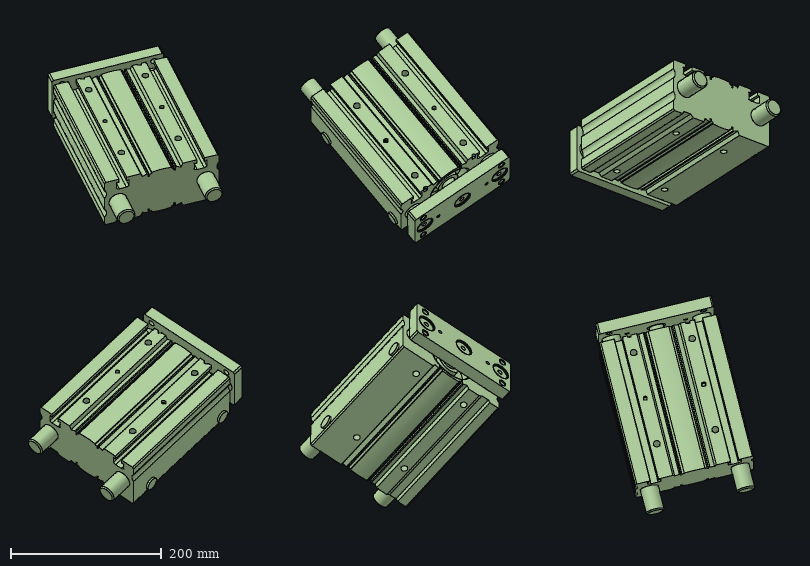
import cadquery as cq
OVERLAP = 2.5

PLATE_THICKNESS = 16.0
PLATE_WIDTH = 158.2
PLATE_HEIGHT = 70.0
PLATE_CHAMFER = 2.4
PLATE_BOLT_Y = 64.9
PLATE_BOLT_Z = 25.0
PLATE_BOLT_DIAMETER = 8.4
PLATE_BOLT_MOUTH_DIAMETER = 10.5

TOTAL_LENGTH = 261.5
GUIDE_Y = 62.0
ROD_END_RECESS = 1.5
GUIDE_DIAMETER = 24.8
GUIDE_TAIL_CHAMFER = 1.8
PISTON_ROD_DIAMETER = 20.0
ROD_END_CHAMFER = 1.0
ROD_HOLE_MOUTH_DIAMETER = 26.2
CENTRE_HOLE_DIAMETER = 6.8
CENTRE_HOLE_DEPTH = 7.8

HOUSING_START = 28.0
HOUSING_LENGTH = 199.3
HALF_WIDTH = 81.0
HALF_HEIGHT = 39.0
CORNER_CHAMFER = 2.0
SIDE_GROOVE_Z = 17.3
SIDE_GROOVE_WIDTH = 14.0
SIDE_GROOVE_DEPTH = 3.1

COVER_DIAMETER = 61.2
COVER_SET_BACK = 14.5
COVER_THICKNESS = 13.0
COVER_HUB_DIAMETER = 32.5
COVER_HUB_LENGTH = 10.5
RECESS_MOUTH_CHAMFER = 1.8
COVER_FRONT_X = HOUSING_START + COVER_SET_BACK
COVER_BACK_X = COVER_FRONT_X + COVER_THICKNESS

BLOCK_EDGE_Y = 29.8
VALLEY_Y = 27.2
VALLEY_Z = 33.2
RIDGE_OUTER_Y = 21.0
RIDGE_INNER_Y = 19.0
RIDGE_Z = 35.5
SLOT_INNER_Y = 17.3
SLOT_FLOOR_Z = 30.3
SLOT_SHOULDER_Z = 33.2
DOME_EDGE_Y = 14.0
DOME_FOOT_Z = 35.0
DOME_EDGE_Z = 36.5
DOME_TOP_Z = 38.0

T_SLOT_Y = 55.0
T_SLOT_MOUTH = 11.0
T_SLOT_WIDTH = 17.8
T_SLOT_LIP = 6.0
T_SLOT_DEPTH = 18.0
T_SLOT_FLOOR_WIDTH = 10.0
T_SLOT_CORNER_RISE = 1.5

FLARE_MOUTH_OUTER_Y = -65.5
FLARE_MOUTH_INNER_Y = -47.3
FLARE_FLOOR_OUTER_Y = -62.8
FLARE_FLOOR_INNER_Y = -52.0
FLARE_DEPTH = 4.2

HOLE_ROW_Y = 40.0
MOUNT_DIAMETER = 8.5
MOUNT_FIRST_X = 52.0
MOUNT_PITCH = 128.1
PIN_X = (HOUSING_START, MOUNT_FIRST_X + MOUNT_PITCH / 2)
PIN_DIAMETER = 5.2
PIN_DEPTH = 7.8
PIN_SLOT_LENGTH = 6.3
PIN_SLOT_DEPTH = 4.7

PLUG_X = (45.0, 192.0)
PLUG_Z = -27.5
PLUG_DIAMETER = 18.3
PLUG_HEIGHT = 3.0


def cylinder_along_x(start, length, diameter, y=0.0, z=0.0):
    return cq.Workplane("YZ", origin=(start, y, z)).circle(diameter / 2).extrude(length)


def cone_along_x(start, length, start_diameter, end_diameter, y, z):
    return cq.Workplane(cq.Solid.makeCone(
        start_diameter / 2, end_diameter / 2, length, cq.Vector(start, y, z), cq.Vector(1, 0, 0)
    ))


def make_end_plate():
    plate = (
        cq.Workplane("YZ")
        .rect(PLATE_WIDTH, PLATE_HEIGHT)
        .extrude(PLATE_THICKNESS)
        .edges("|X")
        .chamfer(PLATE_CHAMFER)
    )
    for y in (GUIDE_Y, 0, -GUIDE_Y):
        plate = plate.cut(plate_hole(GUIDE_DIAMETER, ROD_HOLE_MOUTH_DIAMETER, y, 0))
    for side in (1, -1):
        plate = plate.cut(cylinder_along_x(0, PLATE_THICKNESS, PIN_DIAMETER, side * HOLE_ROW_Y))
        for z in (PLATE_BOLT_Z, -PLATE_BOLT_Z):
            bolt_y = side * PLATE_BOLT_Y
            plate = plate.cut(plate_hole(PLATE_BOLT_DIAMETER, PLATE_BOLT_MOUTH_DIAMETER, bolt_y, z))
    return plate


def plate_hole(diameter, mouth_diameter, y, z):
    """Cutter for a through hole in the plate with a 45 degree mouth on its outer face."""
    mouth_depth = (mouth_diameter - diameter) / 2
    hole = cylinder_along_x(0, PLATE_THICKNESS, diameter, y, z)
    return hole.union(cone_along_x(0, mouth_depth, mouth_diameter, diameter, y, z))


def rod_in_plate(end_x, y):
    """Full-diameter rod from its recessed front end to end_x, with a centre hole."""
    rod = cylinder_along_x(ROD_END_RECESS, end_x - ROD_END_RECESS, GUIDE_DIAMETER, y)
    rod = rod.faces("<X").chamfer(ROD_END_CHAMFER)
    return rod.cut(cylinder_along_x(ROD_END_RECESS, CENTRE_HOLE_DEPTH, CENTRE_HOLE_DIAMETER, y))


def make_guide_rod(y):
    """Guide rod from the plate, through the housing, to the tail end."""
    return rod_in_plate(TOTAL_LENGTH, y).faces(">X").chamfer(GUIDE_TAIL_CHAMFER)


def make_piston_rod():
    """Thick head in the plate and a thinner shank that reaches the back of the rod cover."""
    shank_length = COVER_BACK_X - PLATE_THICKNESS
    shank = cylinder_along_x(PLATE_THICKNESS, shank_length, PISTON_ROD_DIAMETER)
    return rod_in_plate(PLATE_THICKNESS, 0).union(shank)


def make_rod_cover():
    """Disc with a front hub around the piston rod."""
    hub_start = COVER_FRONT_X - COVER_HUB_LENGTH
    disc = cylinder_along_x(COVER_FRONT_X, COVER_THICKNESS, COVER_DIAMETER)
    hub = cylinder_along_x(hub_start, COVER_HUB_LENGTH, COVER_HUB_DIAMETER)
    rod_bore = cylinder_along_x(hub_start, COVER_BACK_X - hub_start, PISTON_ROD_DIAMETER)
    return disc.union(hub).cut(rod_bore)


def cover_recess():
    """Recess for the rod cover, with a chamfered mouth."""
    mouth_diameter = COVER_DIAMETER + 2 * RECESS_MOUTH_CHAMFER
    bore = cylinder_along_x(HOUSING_START, COVER_BACK_X - HOUSING_START, COVER_DIAMETER)
    mouth = cone_along_x(HOUSING_START, RECESS_MOUTH_CHAMFER, mouth_diameter, COVER_DIAMETER, 0, 0)
    return bore.union(mouth)


def housing_prism(outline):
    """Extrude a closed (Y, Z) outline over the housing length."""
    return outline.close().extrude(HOUSING_LENGTH)


def housing_plane():
    return cq.Workplane("YZ", origin=(HOUSING_START, 0, 0))


def centre_relief(face):
    """Space above the domed centre band and its valleys; face is +1 for top, -1 for bottom."""
    half_outline = [
        (BLOCK_EDGE_Y, HALF_HEIGHT),
        (VALLEY_Y, VALLEY_Z),
        (RIDGE_OUTER_Y, RIDGE_Z),
        (RIDGE_INNER_Y, RIDGE_Z),
        (RIDGE_INNER_Y, SLOT_FLOOR_Z),
        (SLOT_INNER_Y, SLOT_FLOOR_Z),
        (SLOT_INNER_Y, SLOT_SHOULDER_Z),
        (DOME_EDGE_Y, DOME_FOOT_Z),
        (DOME_EDGE_Y, DOME_EDGE_Z),
    ]
    right = [(y, face * z) for y, z in half_outline]
    left = [(-y, z) for y, z in reversed(right)]
    outline = (
        housing_plane()
        .polyline(right)
        .threePointArc((0, face * DOME_TOP_Z), left[0])
        .polyline(left[1:], includeCurrent=True)
        .lineTo(-BLOCK_EDGE_Y, face * (HALF_HEIGHT + OVERLAP))
        .lineTo(BLOCK_EDGE_Y, face * (HALF_HEIGHT + OVERLAP))
    )
    return housing_prism(outline)


def t_slot(y):
    mouth = T_SLOT_MOUTH / 2
    wide = T_SLOT_WIDTH / 2
    lip_z = HALF_HEIGHT - T_SLOT_LIP
    floor_z = HALF_HEIGHT - T_SLOT_DEPTH
    half_outline = [
        (mouth, HALF_HEIGHT + OVERLAP),
        (mouth, lip_z),
        (wide, lip_z),
        (wide, floor_z + T_SLOT_CORNER_RISE),
        (T_SLOT_FLOOR_WIDTH / 2, floor_z),
    ]
    right = [(y + offset, z) for offset, z in half_outline]
    left = [(y - offset, z) for offset, z in reversed(half_outline)]
    return housing_prism(housing_plane().polyline(right + left))


def flared_groove():
    points = [
        (FLARE_MOUTH_OUTER_Y, -HALF_HEIGHT),
        (FLARE_FLOOR_OUTER_Y, -HALF_HEIGHT + FLARE_DEPTH),
        (FLARE_FLOOR_INNER_Y, -HALF_HEIGHT + FLARE_DEPTH),
        (FLARE_MOUTH_INNER_Y, -HALF_HEIGHT),
    ]
    return housing_prism(housing_plane().polyline(points))


def side_groove(side, z):
    """Round-bottomed groove along a side face."""
    half_chord = SIDE_GROOVE_WIDTH / 2
    radius = (half_chord ** 2 + SIDE_GROOVE_DEPTH ** 2) / (2 * SIDE_GROOVE_DEPTH)
    axis_y = side * (HALF_WIDTH - SIDE_GROOVE_DEPTH + radius)
    return cylinder_along_x(HOUSING_START, HOUSING_LENGTH, 2 * radius, axis_y, z)


def locating_holes():
    """Pin holes in both rows, open at the front face; the +Y row has a slotted mouth."""
    hole_points = [(x, side * HOLE_ROW_Y) for x in PIN_X for side in (1, -1)]
    slot_points = [(x, HOLE_ROW_Y) for x in PIN_X]
    top = (0, 0, HALF_HEIGHT)
    holes = (
        cq.Workplane("XY", origin=top)
        .pushPoints(hole_points)
        .circle(PIN_DIAMETER / 2)
        .extrude(-PIN_DEPTH)
    )
    slots = (
        cq.Workplane("XY", origin=top)
        .pushPoints(slot_points)
        .slot2D(PIN_SLOT_LENGTH, PIN_DIAMETER, 90)
        .extrude(-PIN_SLOT_DEPTH)
    )
    return holes.union(slots)


def mounting_holes():
    points = [
        (MOUNT_FIRST_X + step * MOUNT_PITCH, side * HOLE_ROW_Y)
        for step in (0, 1)
        for side in (1, -1)
    ]
    plane = cq.Workplane("XY", origin=(0, 0, -HALF_HEIGHT))
    return plane.pushPoints(points).circle(MOUNT_DIAMETER / 2).extrude(2 * HALF_HEIGHT)


def port_plug(x):
    """Round port plug standing on the +Y side face."""
    return (
        cq.Workplane("XZ", origin=(x, HALF_WIDTH, PLUG_Z))
        .circle(PLUG_DIAMETER / 2)
        .extrude(-PLUG_HEIGHT)
    )


def make_housing():
    housing = (
        housing_plane()
        .rect(2 * HALF_WIDTH, 2 * HALF_HEIGHT)
        .extrude(HOUSING_LENGTH)
        .edges("|X")
        .chamfer(CORNER_CHAMFER)
    )
    for face in (1, -1):
        housing = housing.cut(centre_relief(face))
    for side in (1, -1):
        housing = housing.cut(t_slot(side * T_SLOT_Y))
        housing = housing.cut(side_groove(side, SIDE_GROOVE_Z))
        housing = housing.cut(
            cylinder_along_x(HOUSING_START, HOUSING_LENGTH, GUIDE_DIAMETER, side * GUIDE_Y)
        )
    housing = housing.cut(side_groove(-1, -SIDE_GROOVE_Z))
    housing = housing.cut(flared_groove())
    housing = housing.cut(mounting_holes()).cut(locating_holes())
    housing = housing.cut(cover_recess())
    for x in PLUG_X:
        housing = housing.union(port_plug(x))
    return housing


housing = make_housing()
end_plate = make_end_plate()
piston_rod = make_piston_rod()
rod_cover = make_rod_cover()
guide_rods = [make_guide_rod(side * GUIDE_Y) for side in (1, -1)]

result = cq.Compound.makeCompound(
    [housing.val(), end_plate.val(), piston_rod.val(), rod_cover.val()]
    + [rod.val() for rod in guide_rods]
)